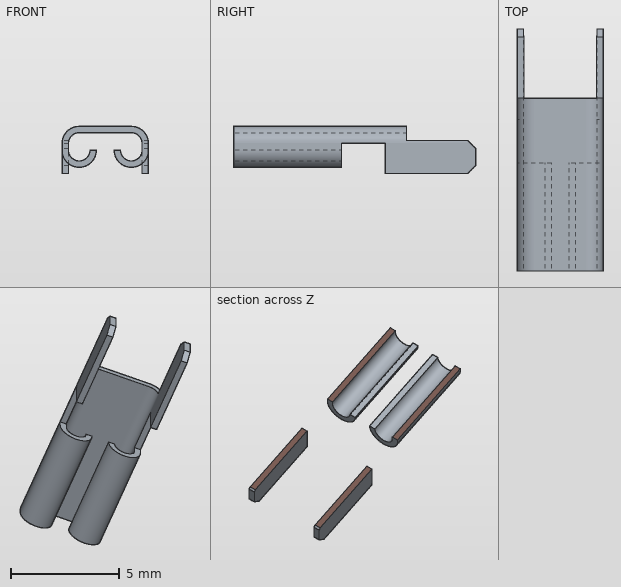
import cadquery as cq
import math

width = 4.0
length = 11.2
height = 2.2
sheet = 0.3

bend_radius = 0.8
channel_height = 1.9
roof_length = 8.0
curl_length = 5.0

tab_start = 7.0
tab_top_drop = 0.65
tab_chamfer = 0.38

side_x = -width / 2
bend_x = side_x + bend_radius
inner_radius = bend_radius - sheet
bend_z = -bend_radius
curl_z = bend_radius - channel_height


def extrude_along_y(profile, start, end):
    """Extrude an XZ profile from Y = start to Y = end."""
    return profile.extrude(start - end).translate((0, start, 0))


def bend_profile(roof_end_x, wall_bottom_z):
    """Left roof bend, with its flat roof and straight wall extensions."""
    diagonal = math.sqrt(0.5)
    outer_mid = (bend_x - bend_radius * diagonal, bend_z + bend_radius * diagonal)
    inner_mid = (bend_x - inner_radius * diagonal, bend_z + inner_radius * diagonal)
    profile = cq.Workplane("XZ").moveTo(roof_end_x, 0).lineTo(bend_x, 0)
    profile = profile.threePointArc(outer_mid, (side_x, bend_z))
    if wall_bottom_z < bend_z:
        profile = profile.lineTo(side_x, wall_bottom_z)
    profile = profile.lineTo(side_x + sheet, wall_bottom_z)
    if wall_bottom_z < bend_z:
        profile = profile.lineTo(side_x + sheet, bend_z)
    profile = profile.threePointArc(inner_mid, (bend_x, -sheet))
    return profile.lineTo(roof_end_x, -sheet).close()


def make_roof_half():
    return extrude_along_y(bend_profile(0, bend_z), 0, roof_length)


def make_curl():
    """Straight wall below the bend, rolled inward through a half circle."""
    profile = (
        cq.Workplane("XZ")
        .moveTo(side_x, bend_z)
        .lineTo(side_x, curl_z)
        .threePointArc((bend_x, curl_z - bend_radius), (bend_x + bend_radius, curl_z))
        .lineTo(bend_x + inner_radius, curl_z)
        .threePointArc((bend_x, curl_z - inner_radius), (side_x + sheet, curl_z))
        .lineTo(side_x + sheet, bend_z)
        .close()
    )
    return extrude_along_y(profile, 0, curl_length)


def make_tab():
    """Bent wall trimmed to a flat tab with a chamfered rear end."""
    wall = extrude_along_y(bend_profile(0, -height), tab_start, length)
    outline = (
        cq.Workplane("YZ", origin=(side_x, 0, 0))
        .moveTo(tab_start, -height)
        .lineTo(length - tab_chamfer, -height)
        .lineTo(length, -height + tab_chamfer)
        .lineTo(length, -tab_top_drop - tab_chamfer)
        .lineTo(length - tab_chamfer, -tab_top_drop)
        .lineTo(tab_start, -tab_top_drop)
        .close()
        .extrude(bend_radius)
    )
    return wall.intersect(outline)


left_half = make_roof_half().union(make_curl()).union(make_tab())
result = left_half.union(left_half.mirror("YZ")).clean()